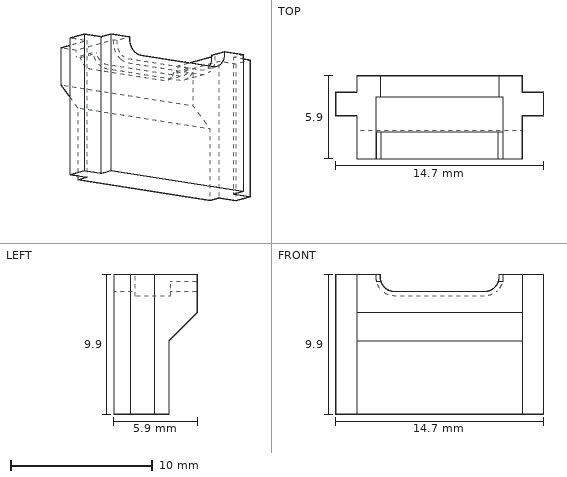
import cadquery as cq

length = 14.7
depth = 5.9
height = 9.9

ear_length = 1.5
ear_thickness = 1.69
ear_back_gap = 1.16
lower_depth = 3.9
overhang_face_height = 2.7
body_length = length - 2 * ear_length
overhang = depth - lower_depth

channel_depth = 1.2
corner_radius = 1.0
channel_half_width = 4.19
recess_offset = 0.31
back_rim = 1.5
front_rim = 1.91
ledge_drop = 0.5


def make_body():
    """Body with a 45-degree underside below its front overhang."""
    overhang_bottom = height - overhang_face_height
    return (
        cq.Workplane("YZ")
        .moveTo(0, 0)
        .lineTo(0, height)
        .lineTo(-depth, height)
        .lineTo(-depth, overhang_bottom)
        .lineTo(-lower_depth, overhang_bottom - overhang)
        .lineTo(-lower_depth, 0)
        .close()
        .extrude(body_length / 2, both=True)
    )


def make_ears():
    """Full-height ears, built as one bar through the body."""
    center_y = -ear_back_gap - ear_thickness / 2
    return (
        cq.Workplane("XY")
        .center(0, center_y)
        .rect(length, ear_thickness)
        .extrude(height)
    )


def channel_cutter(offset, y_back, y_front):
    """Channel between two Y positions, grown by offset at its sides and floor."""
    radius = corner_radius + offset
    half_width = channel_half_width + offset
    floor_z = height - channel_depth - offset
    flat_half = half_width - radius
    return (
        cq.Workplane("XZ", origin=(0, y_back, 0))
        .moveTo(-half_width, height)
        .lineTo(-half_width, floor_z + radius)
        .radiusArc((-flat_half, floor_z), -radius)
        .lineTo(flat_half, floor_z)
        .radiusArc((half_width, floor_z + radius), -radius)
        .lineTo(half_width, height)
        .close()
        .extrude(y_back - y_front)
    )


def ledge_cutter():
    """Upper part of the recess, opening it through the front rim."""
    slab = (
        cq.Workplane("XY", origin=(0, 0, height - ledge_drop))
        .rect(length, 2 * depth)
        .extrude(ledge_drop)
    )
    return channel_cutter(recess_offset, -back_rim, -depth).intersect(slab)


result = (
    make_body()
    .union(make_ears())
    .cut(channel_cutter(0, 0, -depth))
    .cut(channel_cutter(recess_offset, -back_rim, -depth + front_rim))
    .cut(ledge_cutter())
)